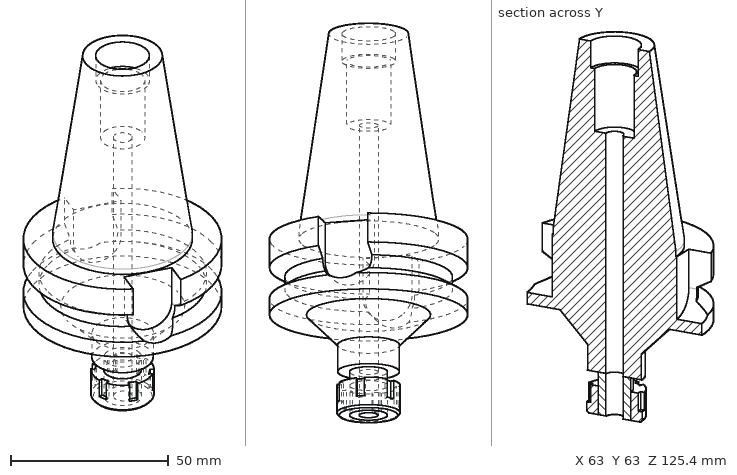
import cadquery as cq

TOTAL_HEIGHT = 125.4
NUT_TOP = 9.8
HOLDER_BOTTOM = 14.3
NOSE_TOP = 23.1
FLANGE_BOTTOM = 33.0
FLANGE_TOP = 57.9
GAUGE_LINE = 60.0

TAPER_SMALL_RADIUS = 12.7
TAPER_LARGE_RADIUS = 22.2
FLANGE_RADIUS = 31.5
NOSE_RADIUS = 9.8
NOSE_CONE_RADIUS = NOSE_RADIUS + FLANGE_BOTTOM - NOSE_TOP

GROOVE_RADIUS = 26.6
GROOVE_MID_HEIGHT = 43.4
GROOVE_FLOOR_WIDTH = 4.3
GROOVE_MOUTH_WIDTH = 10.0

KEY_SLOT_WIDTH = 16.2
KEY_SLOT_FLAT = 22.5
KEY_SLOT_BOTTOM = 37.0

PILOT_RADIUS = 8.5
PILOT_DEPTH = 9.0
STUD_HOLE_RADIUS = 7.0
STUD_HOLE_DEPTH = 30.1
THROUGH_RADIUS = 3.0

COLLET_RADIUS = 6.0
NUT_RADIUS = 10.0
NUT_CHAMFER = 0.8
NOTCH_COUNT = 6
NOTCH_WIDTH = 2.8
NOTCH_DEPTH = 1.4
NOTCH_BOTTOM = 3.8


def cylinder(radius, bottom, top):
    """Solid cylinder on the Z axis between two heights."""
    return cq.Workplane("XY").workplane(offset=bottom).circle(radius).extrude(top - bottom)


def holder_blank():
    """Turned outside of the holder, without bores or key slots."""
    floor_low = GROOVE_MID_HEIGHT - GROOVE_FLOOR_WIDTH / 2
    floor_high = GROOVE_MID_HEIGHT + GROOVE_FLOOR_WIDTH / 2
    mouth_low = GROOVE_MID_HEIGHT - GROOVE_MOUTH_WIDTH / 2
    mouth_high = GROOVE_MID_HEIGHT + GROOVE_MOUTH_WIDTH / 2
    outline = [
        (0, HOLDER_BOTTOM),
        (NOSE_RADIUS, HOLDER_BOTTOM),
        (NOSE_RADIUS, NOSE_TOP),
        (NOSE_CONE_RADIUS, FLANGE_BOTTOM),
        (FLANGE_RADIUS, FLANGE_BOTTOM),
        (FLANGE_RADIUS, mouth_low),
        (GROOVE_RADIUS, floor_low),
        (GROOVE_RADIUS, floor_high),
        (FLANGE_RADIUS, mouth_high),
        (FLANGE_RADIUS, FLANGE_TOP),
        (TAPER_LARGE_RADIUS, FLANGE_TOP),
        (TAPER_LARGE_RADIUS, GAUGE_LINE),
        (TAPER_SMALL_RADIUS, TOTAL_HEIGHT),
        (0, TOTAL_HEIGHT),
    ]
    return cq.Workplane("XZ").polyline(outline).close().revolve(360, (0, 0, 0), (0, 1, 0))


def key_slot(side):
    """Round-bottomed slot cutter, open upward; side is -1 or +1 along X."""
    half_width = KEY_SLOT_WIDTH / 2
    arc_height = KEY_SLOT_BOTTOM + half_width
    return (
        cq.Workplane("YZ")
        .workplane(offset=side * KEY_SLOT_FLAT)
        .moveTo(-half_width, FLANGE_TOP)
        .lineTo(-half_width, arc_height)
        .threePointArc((0, KEY_SLOT_BOTTOM), (half_width, arc_height))
        .lineTo(half_width, FLANGE_TOP)
        .close()
        .extrude(side * FLANGE_RADIUS)
    )


def make_holder():
    """Taper holder with gripper flange, key slots and stepped bore."""
    holder = holder_blank()
    for side in (-1, 1):
        holder = holder.cut(key_slot(side))
    holder = holder.cut(cylinder(PILOT_RADIUS, TOTAL_HEIGHT - PILOT_DEPTH, TOTAL_HEIGHT))
    holder = holder.cut(cylinder(STUD_HOLE_RADIUS, TOTAL_HEIGHT - STUD_HOLE_DEPTH, TOTAL_HEIGHT))
    return holder.cut(cylinder(THROUGH_RADIUS, HOLDER_BOTTOM, TOTAL_HEIGHT))


def make_collet():
    """Plain sleeve from the tip up to the holder nose."""
    return cylinder(COLLET_RADIUS, 0, HOLDER_BOTTOM).cut(cylinder(THROUGH_RADIUS, 0, HOLDER_BOTTOM))


def make_nut():
    """Clamping nut around the collet, with spanner notches open at the top."""
    nut = cylinder(NUT_RADIUS, 0, NUT_TOP).faces("<Z").chamfer(NUT_CHAMFER)
    notch_height = NUT_TOP - NOTCH_BOTTOM
    notch = cq.Workplane("XY").box(2 * NOTCH_DEPTH, NOTCH_WIDTH, notch_height)
    notch = notch.translate((NUT_RADIUS, 0, NOTCH_BOTTOM + notch_height / 2))
    for index in range(NOTCH_COUNT):
        nut = nut.cut(notch.rotate((0, 0, 0), (0, 0, 1), index * 360 / NOTCH_COUNT))
    return nut.cut(cylinder(COLLET_RADIUS, 0, NUT_TOP))


holder = make_holder()
collet = make_collet()
nut = make_nut()

result = cq.Compound.makeCompound([holder.val(), collet.val(), nut.val()])